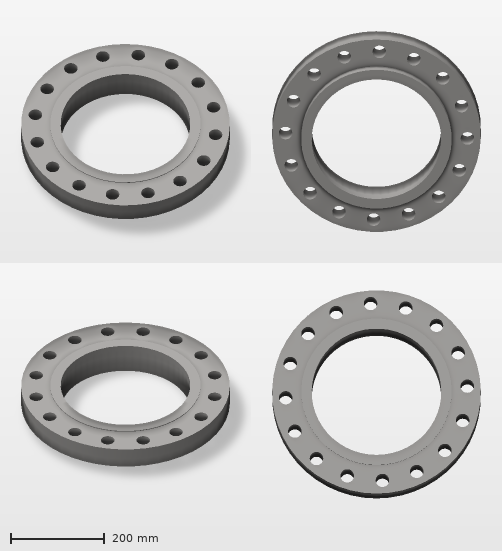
import cadquery as cq

flange_diameter = 444.5
total_height = 66.5

hub_diameter = 320.5
hub_height = 19.0
face_diameter = hub_diameter
face_height = 2.0
flange_thickness = total_height - hub_height - face_height

bore_diameter = 276.0
bolt_hole_count = 16
bolt_hole_diameter = 29.0
bolt_circle_diameter = 387.5
first_bolt_angle = 360 / bolt_hole_count / 2


def make_body():
    """Stack the hub, the flange disc and the raised face from Z = 0 upwards."""
    return (
        cq.Workplane("XY")
        .circle(hub_diameter / 2)
        .extrude(hub_height)
        .faces(">Z")
        .workplane()
        .circle(flange_diameter / 2)
        .extrude(flange_thickness)
        .faces(">Z")
        .workplane()
        .circle(face_diameter / 2)
        .extrude(face_height)
    )


def make_bore():
    return cq.Workplane("XY").circle(bore_diameter / 2).extrude(total_height)


def make_bolt_holes():
    return (
        cq.Workplane("XY")
        .polarArray(bolt_circle_diameter / 2, first_bolt_angle, 360, bolt_hole_count)
        .circle(bolt_hole_diameter / 2)
        .extrude(total_height)
    )


result = make_body().cut(make_bore()).cut(make_bolt_holes())